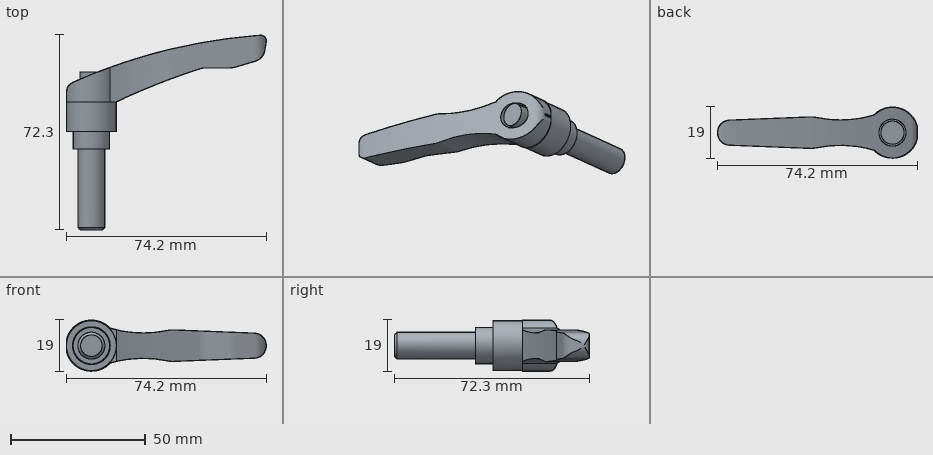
import cadquery as cq
import math


HUB_D = 18.5
HUB_LENGTH = 11.0
COLLAR_D = 13.5
COLLAR_LENGTH = 6.5
STUD_D = 10.0
STUD_LENGTH = 30.0
STUD_CHAMFER = 1.0
BORE_D = 14.0
BORE_DEPTH = 2.0

SCREW_D = 8.6
SCREW_TOP_Y = 22.2
SCREW_HOLE_D = 10.0
SCREW_HOLE_FLOOR_Y = 15.0

BOSS_D = 19.0
NECK_START_X = 6.9
NECK_X = 19.2
NECK_HALF_WIDTH = 4.72
GRIP_X = 29.3
GRIP_HALF_WIDTH = 5.93
GRIP_BLEND_R = 9.0
TIP_X = 64.9
TIP_R = 4.7

FLAT_X = -HUB_D / 2
BACK_CORNER_Y = 17.2
BACK_CORNER_R = 3.7
TOP_MID = (26.0, 29.8)
ENVELOPE_Y = 40.0
TOP_END = (65.4, 35.98)
TOP_END_R = 2.2
NOSE_CORNER = (63.75, 27.0)
NOSE_R = 5.0
REST_Y = 23.6
REST_START_X = 41.2
REST_END_X = 52.4
REST_START_R = 6.0
REST_END_R = 9.0
RAMP_END = (13.6, 13.06)
UNDER_START = (13.82, 13.16)
UNDER_MID = (28.0, 19.0)

MARK_LENGTH = 3.2
MARK_WIDTH = 0.7
MARK_DEPTH = 0.25


def cylinder(diameter, y_start, y_end):
    """Cylinder on the screw axis between two heights."""
    plane = cq.Workplane("XZ", origin=(0, y_start, 0))
    return plane.circle(diameter / 2).extrude(y_start - y_end)


def fillet_at(body, direction, point, radius):
    """Round the edge parallel to the given axis that is nearest to a point."""
    nearest = cq.selectors.NearestToPointSelector(point)
    edge = body.edges(direction).edges(nearest)
    return edge.fillet(radius)


def lever_side():
    """Side shape of the lever, extruded over the full width."""
    body = (
        cq.Workplane("XY")
        .moveTo(FLAT_X, HUB_LENGTH)
        .lineTo(FLAT_X, BACK_CORNER_Y)
        .threePointArc(TOP_MID, TOP_END)
        .lineTo(*NOSE_CORNER)
        .lineTo(REST_END_X, REST_Y)
        .lineTo(REST_START_X, REST_Y)
        .threePointArc(UNDER_MID, UNDER_START)
        .lineTo(*RAMP_END)
        .lineTo(HUB_D / 2, HUB_LENGTH)
        .close()
        .extrude(BOSS_D / 2, both=True)
    )
    rounded_corners = [
        (FLAT_X, BACK_CORNER_Y, BACK_CORNER_R),
        (*TOP_END, TOP_END_R),
        (*NOSE_CORNER, NOSE_R),
        (REST_END_X, REST_Y, REST_END_R),
        (REST_START_X, REST_Y, REST_START_R),
    ]
    for x, y, radius in rounded_corners:
        body = fillet_at(body, "|Z", (x, y, 0), radius)
    return body


def lever_width():
    """Width outline of the lever: waisted neck, tapering grip and round tip, plus the round boss."""
    neck_start_half_width = math.sqrt((BOSS_D / 2) ** 2 - NECK_START_X**2)
    tip_center_x = TIP_X - TIP_R
    height = ENVELOPE_Y
    grip = (
        cq.Workplane("XZ")
        .moveTo(NECK_START_X, neck_start_half_width)
        .threePointArc((NECK_X, NECK_HALF_WIDTH), (GRIP_X, GRIP_HALF_WIDTH))
        .lineTo(tip_center_x, TIP_R)
        .threePointArc((TIP_X, 0), (tip_center_x, -TIP_R))
        .lineTo(GRIP_X, -GRIP_HALF_WIDTH)
        .threePointArc((NECK_X, -NECK_HALF_WIDTH), (NECK_START_X, -neck_start_half_width))
        .close()
        .extrude(-height)
    )
    for side in (1, -1):
        grip = fillet_at(grip, "|Y", (GRIP_X, height / 2, side * GRIP_HALF_WIDTH), GRIP_BLEND_R)
    return grip.union(cylinder(BOSS_D, 0, height))


def lever():
    """Lever with the screw hole in its top and the index mark on its back flat."""
    mark = cq.Workplane("XY").box(2 * MARK_DEPTH, MARK_LENGTH, MARK_WIDTH)
    mark = mark.translate((FLAT_X, HUB_LENGTH + MARK_LENGTH / 2, 0))
    screw_hole = cylinder(SCREW_HOLE_D, SCREW_HOLE_FLOOR_Y, ENVELOPE_Y)
    return lever_side().intersect(lever_width()).cut(screw_hole).cut(mark)


def hub():
    """Round hub with the clearance bore in its underside."""
    return cylinder(HUB_D, 0, HUB_LENGTH).cut(cylinder(BORE_D, 0, BORE_DEPTH))


def stud():
    """Collar and chamfered stud below the hub."""
    shoulder_y = -COLLAR_LENGTH
    collar = cylinder(COLLAR_D, shoulder_y, BORE_DEPTH)
    pin = cylinder(STUD_D, shoulder_y - STUD_LENGTH, shoulder_y)
    pin = pin.faces("<Y").chamfer(STUD_CHAMFER)
    return collar.union(pin)


screw = cylinder(SCREW_D, SCREW_HOLE_FLOOR_Y, SCREW_TOP_Y)
result = lever().union(hub()).union(stud()).union(screw)